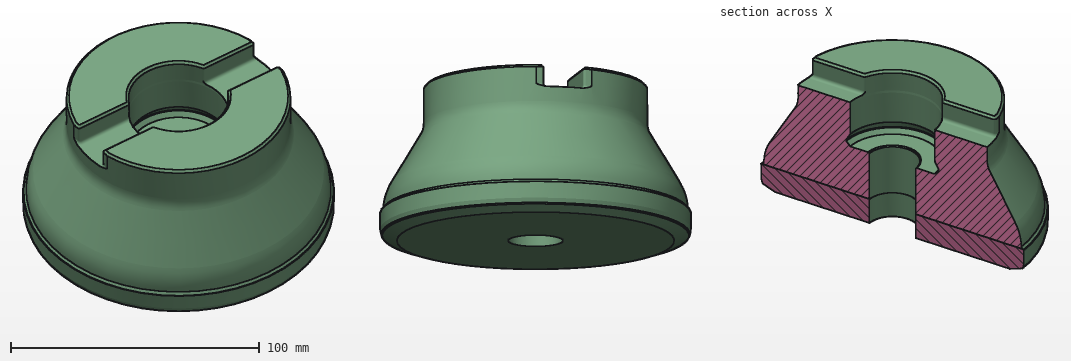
import cadquery as cq
import math

total_height = 63.0
cutter_height = 11.2
cutter_radius = 125.0 / 2
center_hole_radius = 22.0 / 2
center_hole_chamfer = 0.5

hub_radius = 90.0 / 2
hub_base_z = 47.9
hub_fillet = 10.0
skirt_radius = 122.5 / 2
skirt_base_z = 12.35
skirt_fillet = 20.0
flare_base_radius = 62.2
top_chamfer = 1.0

bore_relief_radius = 40.2 / 2
bore_radius = 40.01 / 2
bore_relief_bottom_z = 53.8
bore_start_z = 52.8
bore_end_z = 39.0
undercut_depth = 1.9
undercut_angle = math.radians(30)
undercut_flat_bottom_z = 35.2

slot_half_width = 16.4 / 2
slot_depth = 9.0
slot_floor_fillet = 1.5
slot_corner_radius = 1.05
slot_end_y = 43.5
slot_end_half_width = 15.0
slot_end_length = 9.0
edge_tolerance = 0.01

cutter_face_radius = 55.7
cutter_edge_radius = 61.6
cutter_edge_z = 2.1
cutter_corner_radius = 62.0
cutter_corner_z = 2.65
cutter_side_z = 4.5

slot_floor_z = total_height - slot_depth
undercut_radius = bore_radius + undercut_depth
undercut_flat_top_z = bore_end_z - undercut_depth / math.tan(undercut_angle)
bore_floor_z = undercut_flat_bottom_z - undercut_depth


def ring_point(center, radius, angle):
    """Point on a circle in the profile plane."""
    return (center[0] + radius * math.cos(angle), center[1] + radius * math.sin(angle))


def revolve_profile(profile):
    """Turn a closed (radius, height) outline around Z."""
    return profile.close().revolve(360, (0, 0, 0), (0, 1, 0))


def make_blank():
    """Body without holes: a hub that blends into a cone, a rounded skirt and a flare at the base."""
    skirt_center = (skirt_radius - skirt_fillet, skirt_base_z)
    hub_center = (hub_radius + hub_fillet, hub_base_z)

    run = hub_center[0] - skirt_center[0]
    rise = hub_center[1] - skirt_center[1]
    slope = math.atan2(rise, run) - math.acos((skirt_fillet + hub_fillet) / math.hypot(run, rise))

    profile = (
        cq.Workplane("XZ")
        .moveTo(0, cutter_height)
        .lineTo(flare_base_radius, cutter_height)
        .lineTo(skirt_radius, skirt_base_z)
        .threePointArc(
            ring_point(skirt_center, skirt_fillet, slope / 2),
            ring_point(skirt_center, skirt_fillet, slope),
        )
        .lineTo(*ring_point(hub_center, -hub_fillet, slope))
        .threePointArc(
            ring_point(hub_center, -hub_fillet, slope / 2),
            (hub_radius, hub_base_z),
        )
        .lineTo(hub_radius, total_height)
        .lineTo(0, total_height)
    )
    return revolve_profile(profile)


def make_bore():
    """Arbor bore with a wider mouth, an undercut above its floor and the screw hole below."""
    profile = (
        cq.Workplane("XZ")
        .moveTo(0, total_height)
        .lineTo(bore_relief_radius, total_height)
        .lineTo(bore_relief_radius, bore_relief_bottom_z)
        .lineTo(bore_radius, bore_start_z)
        .lineTo(bore_radius, bore_end_z)
        .lineTo(undercut_radius, undercut_flat_top_z)
        .lineTo(undercut_radius, undercut_flat_bottom_z)
        .lineTo(bore_radius, bore_floor_z)
        .lineTo(center_hole_radius + center_hole_chamfer, bore_floor_z)
        .lineTo(center_hole_radius, bore_floor_z - center_hole_chamfer)
        .lineTo(center_hole_radius, cutter_height)
        .lineTo(0, cutter_height)
    )
    return revolve_profile(profile)


def make_slot():
    """Drive slot with flat, wider ends, rounded corners and a filleted floor."""
    plane = cq.Workplane("XY").workplane(offset=slot_floor_z)
    slot = plane.rect(2 * slot_half_width, 2 * (slot_end_y + slot_end_length)).extrude(slot_depth)
    slot = slot.union(plane.circle(bore_relief_radius).extrude(slot_depth))
    for side in (1, -1):
        end = plane.center(0, side * (slot_end_y + slot_end_length / 2))
        slot = slot.union(end.rect(2 * slot_end_half_width, slot_end_length).extrude(slot_depth))
    slot = (
        slot.edges("|Z")
        .filter(lambda edge: abs(abs(edge.Center().x) - slot_half_width) < edge_tolerance)
        .filter(lambda edge: abs(edge.Center().y) < hub_radius)
        .fillet(slot_corner_radius)
    )
    return slot.faces("<Z").edges().fillet(slot_floor_fillet)


def make_body():
    """Mill body with its bore and drive slot, chamfered all around the top face."""
    mill = make_blank().cut(make_slot()).cut(make_bore())
    return mill.faces(">Z").edges().chamfer(top_chamfer)


def make_cutter():
    """Disc under the body with bevelled lower edges and the screw hole through it."""
    profile = (
        cq.Workplane("XZ")
        .moveTo(center_hole_radius, 0)
        .lineTo(cutter_face_radius, 0)
        .lineTo(cutter_edge_radius, cutter_edge_z)
        .lineTo(cutter_corner_radius, cutter_corner_z)
        .lineTo(cutter_radius, cutter_side_z)
        .lineTo(cutter_radius, cutter_height)
        .lineTo(center_hole_radius, cutter_height)
    )
    return revolve_profile(profile)


body = make_body()
cutter = make_cutter()

result = cq.Compound.makeCompound([body.val(), cutter.val()])